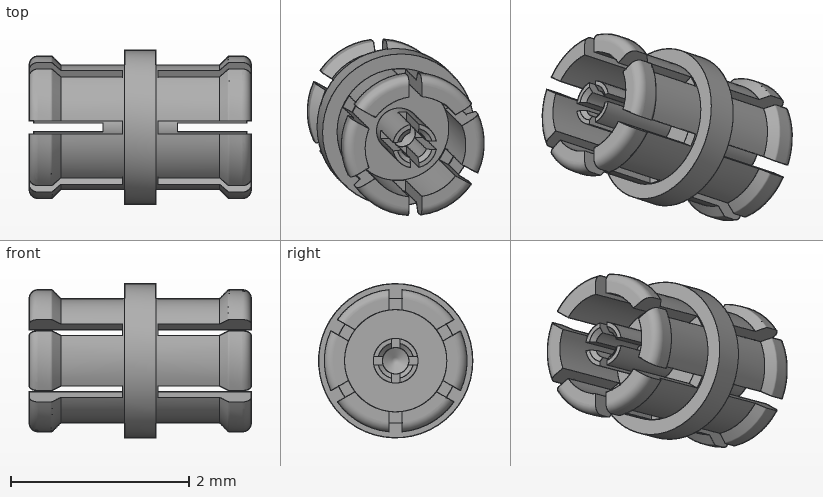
import cadquery as cq
import math


length = 2.49
flange_width = 0.35
flange_radius = 0.865
sleeve_radius = 0.70
bore_radius = 0.573

head_radius = 0.80
head_nose_radius = 0.10
head_length = 0.255
head_corner_radius = 0.025
head_slope_angle = 45

finger_count = 6
finger_slot_width = 0.145
finger_slot_floor = 0.20

pin_length = 2.39
pin_radius = 0.25
socket_radius = 0.148
socket_mouth_radius = 0.20
socket_mouth_depth = socket_mouth_radius - socket_radius
socket_floor = 0.40
drill_point_angle = 118
pin_slot_count = 4
pin_slot_width = 0.095
pin_slot_floor = 0.418

half_length = length / 2
half_flange = flange_width / 2
half_pin = pin_length / 2


def revolve_about_x(profile):
    """Revolve a closed XY profile a full turn about the X axis."""
    return profile.close().revolve(360, (0, 0, 0), (1, 0, 0))


def make_sleeve_end():
    """Tubular sleeve on the +X side, from the mid-plane to the snap head."""
    slope = math.radians(head_slope_angle)
    slope_run = (head_radius - sleeve_radius) / math.tan(slope)
    corner_x = half_length - head_length

    arc_centre_x = corner_x + head_corner_radius * math.tan(slope / 2)
    arc_centre_y = head_radius - head_corner_radius

    def corner_arc_point(angle):
        return (
            arc_centre_x - head_corner_radius * math.sin(angle),
            arc_centre_y + head_corner_radius * math.cos(angle),
        )

    profile = (
        cq.Workplane("XY")
        .moveTo(0, bore_radius)
        .lineTo(half_length, bore_radius)
        .lineTo(half_length, head_radius - head_nose_radius)
        .radiusArc((half_length - head_nose_radius, head_radius), -head_nose_radius)
        .lineTo(*corner_arc_point(0))
        .threePointArc(corner_arc_point(slope / 2), corner_arc_point(slope))
        .lineTo(corner_x - slope_run, sleeve_radius)
        .lineTo(0, sleeve_radius)
    )
    return revolve_about_x(profile)


def cut_radial_slots(body, count, width, floor, end, inner_radius, outer_radius):
    """Cut equally spaced radial slots, one of them pointing along +Z."""
    height = outer_radius - inner_radius
    for index in range(count):
        slot = (
            cq.Workplane("XY", origin=(0, 0, inner_radius))
            .box(end - floor, width, height, centered=(False, True, False))
            .translate((floor, 0, 0))
            .rotate((0, 0, 0), (1, 0, 0), index * 360 / count)
        )
        body = body.cut(slot)
    return body


def make_pin_end():
    """Centre pin on the +X side, with its socket and slots."""
    pin = cq.Workplane("YZ").circle(pin_radius).extrude(half_pin)
    drill_point = socket_radius / math.tan(math.radians(drill_point_angle / 2))
    socket = revolve_about_x(
        cq.Workplane("XY")
        .moveTo(socket_floor - drill_point, 0)
        .lineTo(socket_floor, socket_radius)
        .lineTo(half_pin - socket_mouth_depth, socket_radius)
        .lineTo(half_pin, socket_mouth_radius)
        .lineTo(half_pin, 0)
    )
    return cut_radial_slots(
        pin.cut(socket), pin_slot_count, pin_slot_width, pin_slot_floor, half_pin, 0, pin_radius
    )


def make_connector_end():
    """Slotted sleeve and pin on the +X side."""
    sleeve = cut_radial_slots(
        make_sleeve_end(), finger_count, finger_slot_width, finger_slot_floor, half_length,
        pin_radius, head_radius,
    )
    return sleeve.union(make_pin_end())


flange = cq.Workplane("YZ", origin=(-half_flange, 0, 0)).circle(flange_radius).extrude(flange_width)
connector_end = make_connector_end()
result = flange.union(connector_end).union(connector_end.mirror("YZ"))